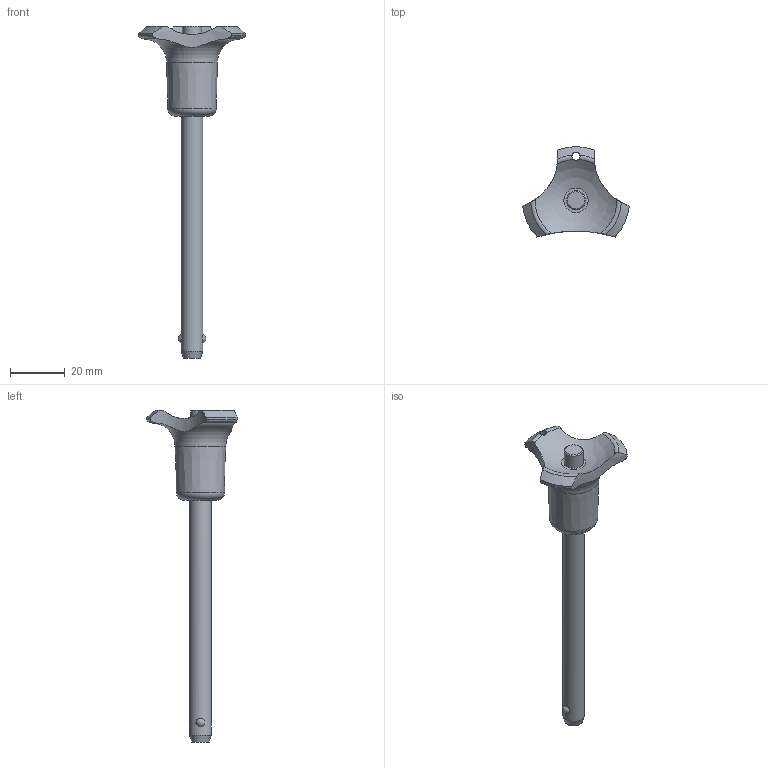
import cadquery as cq
import math


shank_radius = 4.0
shank_length = 88.5
tip_radius = 3.2
tip_chamfer_height = 2.55

ball_radius = 1.65
ball_reach = 5.1
ball_height_above_tip = 7.1

head_height = 33.0
barrel_bottom_radius = 8.85
barrel_top_radius = 9.3
end_round = 2.8
flare_radius = 8.5
barrel_top_z = head_height - 13.25
flare_end_radius = barrel_top_radius + flare_radius
flare_end_z = barrel_top_z + flare_radius

rim_radius = 19.6
dish_radius = 15.0
rim_slope_top_radius = 16.6
crest_drop = 0.3
rim_shoulder_z = head_height - 2.6
rim_edge_z = head_height - 3.4
lip_round = 1.0

dish_depth = 6.2
dish_floor_radius = 4.45

button_radius = 3.5
button_chamfer = 0.35

wing_half_width = 6.8
side_scallop_points = [(7.75, 9.3), (11.2, 3.7)]
side_corner_x = 19.485
corner_slope = 0.45
front_corner_y = -13.4
front_scallop_y = -11.25

lanyard_hole_radius = 1.5
lanyard_hole_y = 16.2


def mirrored(point):
    """Point reflected to the other side of the Y axis."""
    return (-point[0], point[1])


def make_shank():
    """Cylindrical shank with a tapered tip, reaching up into the grip."""
    profile = (
        cq.Workplane("XZ")
        .moveTo(0, -shank_length)
        .lineTo(tip_radius, -shank_length)
        .lineTo(shank_radius, -shank_length + tip_chamfer_height)
        .lineTo(shank_radius, end_round)
        .lineTo(0, end_round)
        .close()
    )
    return profile.revolve(360, (0, 0), (0, 1))


def make_ball(side):
    """Locking ball protruding on the +X (side = 1) or -X (side = -1) side of the shank."""
    ball_x = side * (ball_reach - ball_radius)
    ball_z = -shank_length + ball_height_above_tip
    return cq.Workplane("XY").sphere(ball_radius).translate((ball_x, 0, ball_z))


def make_grip_body():
    """Revolved grip, complete around the axis: barrel, flare, rim and dished top."""
    dish_edge_z = head_height - crest_drop
    cap_height = dish_depth - crest_drop
    sphere_radius = (dish_radius**2 + cap_height**2) / (2 * cap_height)
    sphere_centre_z = head_height - dish_depth + sphere_radius

    def dish_z(radius):
        return sphere_centre_z - math.sqrt(sphere_radius**2 - radius**2)

    dish_mid_radius = (dish_floor_radius + dish_radius) / 2
    dish_mid = (dish_mid_radius, dish_z(dish_mid_radius))
    floor_z = dish_z(dish_floor_radius)

    diagonal = math.sqrt(0.5)
    flat_radius = barrel_bottom_radius - end_round
    end_mid = (flat_radius + end_round * diagonal, end_round * (1 - diagonal))
    flare_mid = (flare_end_radius - flare_radius * diagonal, barrel_top_z + flare_radius * diagonal)
    lip_radius = rim_radius - lip_round
    lip_mid = (lip_radius + lip_round * diagonal, rim_edge_z - lip_round * diagonal)

    crest = ((dish_radius + rim_slope_top_radius) / 2, head_height)

    profile = (
        cq.Workplane("XZ")
        .lineTo(flat_radius, 0)
        .threePointArc(end_mid, (barrel_bottom_radius, end_round))
        .lineTo(barrel_top_radius, barrel_top_z)
        .threePointArc(flare_mid, (flare_end_radius, flare_end_z))
        .lineTo(lip_radius, rim_edge_z - lip_round)
        .threePointArc(lip_mid, (rim_radius, rim_edge_z))
        .lineTo(rim_radius, rim_shoulder_z)
        .lineTo(rim_slope_top_radius, dish_edge_z)
        .threePointArc(crest, (dish_radius, dish_edge_z))
        .threePointArc(dish_mid, (dish_floor_radius, floor_z))
        .lineTo(0, floor_z)
        .close()
    )
    return profile.revolve(360, (0, 0), (0, 1))


def make_wing_outline():
    """Prism whose scalloped sides leave three wings; the wing ends lie on or beyond the rim."""
    wing_tip = (wing_half_width, rim_radius)
    side_corner = (side_corner_x, -math.sqrt(rim_radius**2 - side_corner_x**2))
    front_corner = (math.sqrt(rim_radius**2 - front_corner_y**2), front_corner_y)
    right_scallop = [wing_tip, *side_scallop_points, side_corner]
    left_scallop = [mirrored(point) for point in reversed(right_scallop)]

    right_end_slope = (1, -corner_slope)
    left_start_slope = (1, corner_slope)

    side_angle = math.atan2(side_corner[1], side_corner[0])
    front_angle = math.atan2(front_corner[1], front_corner[0])
    wing_angle = (side_angle + front_angle) / 2
    wing_mid = (rim_radius * math.cos(wing_angle), rim_radius * math.sin(wing_angle))

    outline = (
        cq.Workplane("XY")
        .moveTo(*mirrored(wing_tip))
        .lineTo(*wing_tip)
        .spline(right_scallop[1:], tangents=[(0, -1), right_end_slope], includeCurrent=True)
        .threePointArc(wing_mid, front_corner)
        .threePointArc((0, front_scallop_y), mirrored(front_corner))
        .threePointArc(mirrored(wing_mid), mirrored(side_corner))
        .spline(left_scallop[1:], tangents=[left_start_slope, (0, 1)], includeCurrent=True)
        .close()
    )
    return outline.extrude(head_height)


def make_button():
    """Chamfered release button standing on the grip axis, rooted inside the grip."""
    root_z = head_height / 2
    button = cq.Workplane("XY").workplane(offset=root_z).circle(button_radius).extrude(head_height - root_z)
    return button.faces(">Z").chamfer(button_chamfer)


def make_lanyard_hole():
    """Cutter for the vertical hole through the +Y wing."""
    return cq.Workplane("XY").center(0, lanyard_hole_y).circle(lanyard_hole_radius).extrude(head_height)


grip = make_grip_body().intersect(make_wing_outline()).cut(make_lanyard_hole())
result = grip.union(make_button()).union(make_shank())
for side in (1, -1):
    result = result.union(make_ball(side))